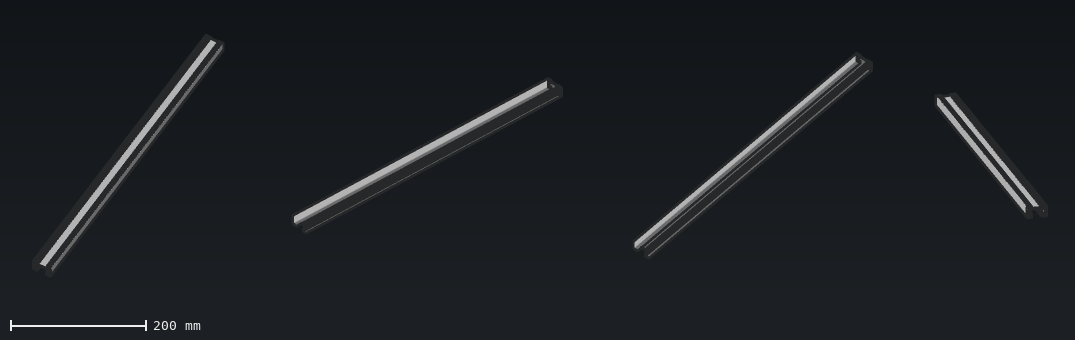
import cadquery as cq

length = 500.0
width = 31.0
height = 17.0

wall = 3.0
flange_reach = 8.0
flange_depth = 6.0
top_radius = 1.5
bottom_radius = 2.0
tip_chamfer = 1.5

groove_inset = 4.5
groove_width = 2.0
groove_depth = 2.5

web_drop = 2.0
web_thickness = 1.5

lip_floor = 2.0
lip_thickness = 2.0
lip_height = 4.5

half_width = width / 2
half_height = height / 2
tip_x = half_width - flange_reach
wall_x = half_width - wall
web_top = half_height - web_drop
web_bottom = web_top - web_thickness
flange_bottom = half_height - flange_depth
groove_x = half_width - groove_inset
lip_x = tip_x + lip_thickness


def right_half_section():
    """Section of the +X half, closed along the centre plane."""
    return (
        cq.Workplane("XZ", origin=(0, length / 2, 0))
        .moveTo(0, web_top)
        .lineTo(tip_x, web_top)
        .lineTo(tip_x, half_height)
        .lineTo(groove_x - groove_width / 2, half_height)
        .lineTo(groove_x - groove_width / 2, half_height - groove_depth)
        .lineTo(groove_x + groove_width / 2, half_height - groove_depth)
        .lineTo(groove_x + groove_width / 2, half_height)
        .lineTo(half_width, half_height)
        .lineTo(half_width, -half_height)
        .lineTo(tip_x, -half_height)
        .lineTo(tip_x, -half_height + lip_height)
        .lineTo(lip_x, -half_height + lip_height)
        .lineTo(lip_x, -half_height + lip_floor)
        .lineTo(wall_x, -half_height + lip_floor)
        .lineTo(wall_x, flange_bottom)
        .lineTo(tip_x + tip_chamfer, flange_bottom)
        .lineTo(tip_x, flange_bottom + tip_chamfer)
        .lineTo(tip_x, web_bottom)
        .lineTo(0, web_bottom)
        .close()
    )


right_half = right_half_section().extrude(length)
right_half = right_half.faces(">X").edges(">Z").fillet(top_radius)
right_half = right_half.faces(">X").edges("<Z").fillet(bottom_radius)
result = right_half.union(right_half.mirror("YZ")).clean()